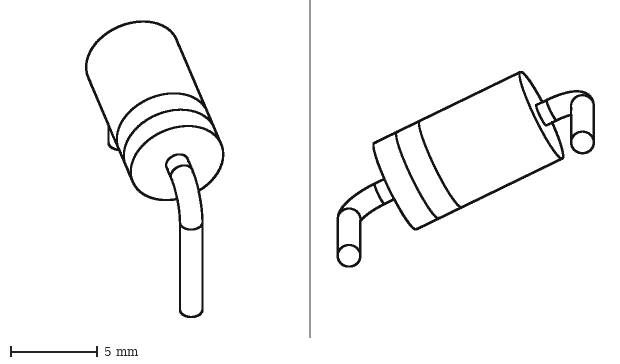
import cadquery as cq

overall_length = 16.56
overall_height = 11.6
body_diameter = 5.6
wire_diameter = 1.32
bend_radius = 2.0

housing_left = -4.93
band_left = 1.62
band_right = 3.11
housing_right = 4.6

wire_radius = wire_diameter / 2
lead_x = overall_length / 2 - wire_radius
axis_z = overall_height - body_diameter / 2
leg_height = axis_z - bend_radius
bend_end_x = lead_x - bend_radius


def make_rod(x_start, x_end, diameter):
    """Round rod along the housing axis between two X stations."""
    return (
        cq.Workplane("YZ", origin=(x_start, 0, axis_z))
        .circle(diameter / 2)
        .extrude(x_end - x_start)
    )


def make_leg(side):
    """Vertical wire; side is -1 for the left lead and +1 for the right."""
    return (
        cq.Workplane("XY", origin=(side * lead_x, 0, 0))
        .circle(wire_radius)
        .extrude(leg_height)
    )


def make_bend(side):
    """Quarter-torus elbow joining the leg to the horizontal stub."""
    return (
        cq.Workplane("XY", origin=(side * lead_x, 0, leg_height))
        .circle(wire_radius)
        .revolve(90, (-side * bend_radius, 0, 0), (-side * bend_radius, -side, 0))
    )


main_body = make_rod(housing_left, band_left, body_diameter)
band = make_rod(band_left, band_right, body_diameter)
end_cap = make_rod(band_right, housing_right, body_diameter)

left_stub = make_rod(-bend_end_x, housing_left, wire_diameter)
right_stub = make_rod(housing_right, bend_end_x, wire_diameter)

bends = []
legs = []
for side in (-1, 1):
    bends.append(make_bend(side).val())
    legs.append(make_leg(side).val())

result = cq.Compound.makeCompound(
    [
        main_body.val(),
        band.val(),
        end_cap.val(),
        left_stub.val(),
        right_stub.val(),
        *bends,
        *legs,
    ]
)